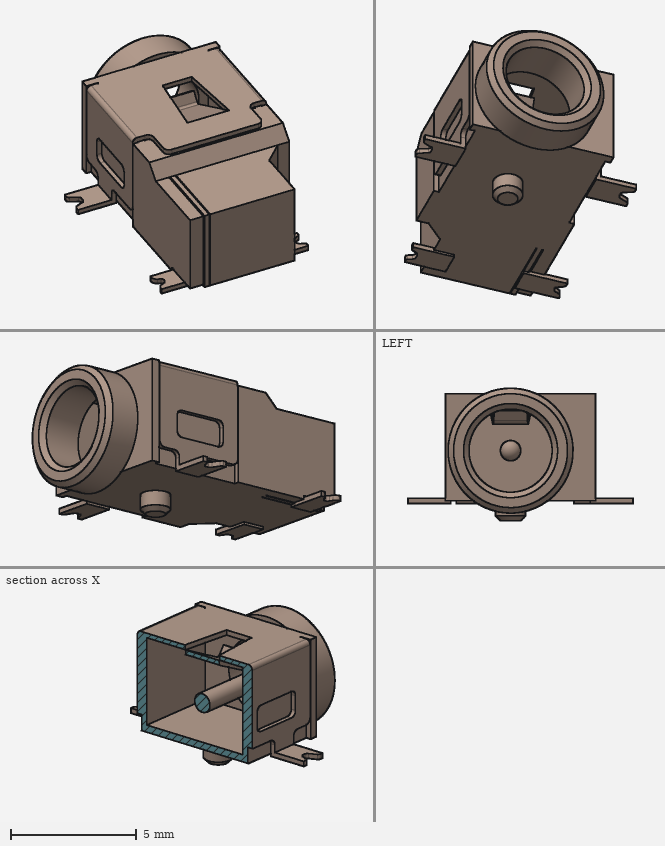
import cadquery as cq
import math

OVERLAP = 0.05
FAR = 11.0
PICK_MARGIN = 0.03

axis_z = 2.0
sleeve_radius = 2.5
sleeve_length = 1.51
sleeve_chamfer = 0.22
bore_radius = 1.66
pin_radius = 0.41
pin_tip_x = 2.2

length = 11.0
body_width = 6.0
body_center_y = -0.4
body_height = 4.28
flange_end_x = 1.87
bevel_start_x = 7.41
bevel_end_x = 7.99
rear_height = 3.5
rear_side_y = 1.3
corner_cut = 0.78
front_y = body_center_y - body_width / 2
back_y = body_center_y + body_width / 2

cavity_width = 4.95
cavity_floor_z = 0.33

sheet = 0.22
shell_gap = 0.03
bend_radius = 0.2
shell_end_x = 5.95
shell_round = 0.25
skirt_bottom_z = 0.69
flap_end_x = 7.3
flap_width = 4.38
window_size = (2.39, 1.13)
window_center = (4.0, 1.85)
roof_z = body_height - sheet
slot_end_x = shell_end_x + shell_gap

arm_tip_x = 3.21
arm_tip_width = 1.3
arm_root_width = 1.87
arm_bend_x = 3.59
arm_bend_z = 2.97
arm_sheet = 0.2
arm_slope = math.radians(24.7)
arm_tip_slope = math.radians(121)
arm_tip_length = 0.73
arm_bend_radius = 0.12

foot_bottom_z = -0.11
front_foot_x = 3.51
front_foot_width = 1.18
front_foot_reach = 9.0 / 2
rear_foot_x = 9.98
rear_foot_width = 1.0
rear_foot_embed = 0.87
rear_foot_back_y = 2.18
rear_foot_front_y = -4.4

front_notch = (0.48, 0.73, 0.3, 0.12, 0.12)
rear_back_notch = (0.33, 0.64, 0.33, 0.05, 0.18)
rear_front_notch = (0.37, 0.53, 0.22, 0.24, 0.13)

terminal_y = front_y + rear_foot_embed
terminal_inner_gap = 0.03
terminal_outer_gap = 0.05
relief_start_x = 9.4
relief_height = 0.14

peg_x = 4.51
peg_radius = 0.6
peg_length = 0.8
peg_chamfer = 0.2


def block(x_range, y_range, z_range):
    """Box given by its lower and upper limit along each axis."""
    limits = (x_range, y_range, z_range)
    sizes = [high - low for low, high in limits]
    corner = tuple(low for low, high in limits)
    return cq.Workplane("XY").box(*sizes, centered=False).translate(corner)


def around_body(width):
    """Y limits of a strip centred on the housing."""
    return (body_center_y - width / 2, body_center_y + width / 2)


def rod_x(radius, start_x, end_x):
    """Round bar on the sleeve axis."""
    return cq.Workplane("YZ", origin=(start_x, 0, axis_z)).circle(radius).extrude(end_x - start_x)


def round_upright(solid, x_limits, y_limits, radius):
    """Round the upright edges that lie inside the given plan limits."""
    low = (x_limits[0], y_limits[0], -FAR)
    high = (x_limits[1], y_limits[1], FAR)
    return solid.edges("|Z").edges(cq.selectors.BoxSelector(low, high)).fillet(radius)


def housing():
    side = [
        (sleeve_length, 0),
        (sleeve_length, body_height),
        (flange_end_x, body_height),
        (flange_end_x, roof_z),
        (bevel_start_x, roof_z),
        (bevel_end_x, rear_height),
        (length, rear_height),
        (length, 0),
    ]
    body = cq.Workplane("XZ", origin=(0, back_y, 0)).polyline(side).close().extrude(body_width)
    corner = [
        (bevel_end_x, back_y),
        (bevel_end_x, rear_side_y + corner_cut),
        (bevel_end_x + corner_cut, rear_side_y),
        (length, rear_side_y),
        (length, back_y),
    ]
    body = body.cut(cq.Workplane("XY").polyline(corner).close().extrude(FAR))
    for wall in ((front_y, front_y + sheet), (back_y - sheet, back_y)):
        body = body.cut(block((flange_end_x, slot_end_x), wall, (0, roof_z)))
    cavity = block((flange_end_x, slot_end_x), around_body(cavity_width), (cavity_floor_z, roof_z))
    return body.cut(cavity)


def sleeve():
    tube = rod_x(sleeve_radius, 0, sleeve_length)
    return tube.faces("<X").chamfer(sleeve_chamfer)


def bore():
    hole = rod_x(bore_radius, 0, flange_end_x)
    mouth = cq.Solid.makeCone(
        bore_radius + sleeve_chamfer,
        bore_radius,
        sleeve_chamfer,
        pnt=cq.Vector(0, 0, axis_z),
        dir=cq.Vector(1, 0, 0),
    )
    return hole.union(cq.Workplane(mouth))


def pin():
    center_x = pin_tip_x + pin_radius
    dome = cq.Workplane("XY").sphere(pin_radius).translate((center_x, 0, axis_z))
    return rod_x(pin_radius, center_x, slot_end_x + OVERLAP).union(dome)


def shell_side_plate():
    """Side outline of the shell, a skirt with a tab running down to the foot, across the full width."""
    start_x = flange_end_x + shell_gap
    skirt = block((start_x, shell_end_x), around_body(body_width), (skirt_bottom_z, body_height))
    skirt = skirt.edges("|Y and <Z").fillet(shell_round)
    tab_x = (front_foot_x - front_foot_width / 2, front_foot_x + front_foot_width / 2)
    tab = block(tab_x, around_body(body_width), (foot_bottom_z, roof_z))
    low = (tab_x[0] - PICK_MARGIN, -FAR, skirt_bottom_z - PICK_MARGIN)
    high = (tab_x[1] + PICK_MARGIN, FAR, skirt_bottom_z + PICK_MARGIN)
    inner_corners = cq.selectors.BoxSelector(low, high)
    return skirt.union(tab).edges("|Y").edges(inner_corners).fillet(shell_round)


def shell():
    x_range = (flange_end_x + shell_gap, shell_end_x)
    arch = block(x_range, around_body(body_width), (foot_bottom_z, body_height))
    arch = arch.edges("|X and >Z").fillet(bend_radius)
    arch = arch.cut(block(x_range, around_body(body_width - 2 * sheet), (foot_bottom_z, roof_z)))
    arch = arch.intersect(shell_side_plate())
    window = cq.Workplane("XZ", origin=(window_center[0], back_y, window_center[1]))
    window = window.rect(*window_size).extrude(body_width).edges("|Y").fillet(shell_round)
    arch = arch.cut(window)

    roof = (roof_z, body_height)
    flap_y = around_body(flap_width)
    arch = arch.union(block((shell_end_x - OVERLAP, flap_end_x), flap_y, roof))
    arch = arch.union(block((flange_end_x, x_range[0] + OVERLAP), around_body(cavity_width), roof))
    for y in flap_y:
        near_y = (y - PICK_MARGIN, y + PICK_MARGIN)
        for x in (shell_end_x, flap_end_x):
            arch = round_upright(arch, (x - PICK_MARGIN, x + PICK_MARGIN), near_y, shell_round)
    return arch.cut(arm_plan()).union(spring_arm())


def arm_plan():
    """Tapered opening of the spring arm."""
    outline = [
        (arm_tip_x, -arm_tip_width / 2),
        (shell_end_x, -arm_root_width / 2),
        (shell_end_x, arm_root_width / 2),
        (arm_tip_x, arm_tip_width / 2),
    ]
    return cq.Workplane("XY").polyline(outline).close().extrude(body_height)


def spring_arm():
    half_angle = (arm_tip_slope - arm_slope) / 2
    middle = (arm_tip_slope + arm_slope) / 2
    inset = arm_sheet / math.sin(half_angle)
    inner_x = arm_bend_x + inset * math.cos(middle)
    inner_z = arm_bend_z + inset * math.sin(middle)
    tip_x = arm_bend_x + arm_tip_length * math.cos(arm_tip_slope)
    tip_z = arm_bend_z + arm_tip_length * math.sin(arm_tip_slope)
    profile = [
        (arm_bend_x, arm_bend_z),
        (shell_end_x, arm_bend_z + (shell_end_x - arm_bend_x) * math.tan(arm_slope)),
        (shell_end_x, inner_z + (shell_end_x - inner_x) * math.tan(arm_slope)),
        (inner_x, inner_z),
        (tip_x + arm_sheet * math.sin(arm_tip_slope), tip_z - arm_sheet * math.cos(arm_tip_slope)),
        (tip_x, tip_z),
    ]
    arm = cq.Workplane("XZ").polyline(profile).close().extrude(arm_root_width / 2, both=True)
    bends = (
        (arm_bend_x, arm_bend_z, arm_bend_radius + arm_sheet),
        (inner_x, inner_z, arm_bend_radius),
    )
    for x, z, radius in bends:
        arm = arm.edges(cq.selectors.NearestToPointSelector((x, 0, z))).fillet(radius)
    return arm.intersect(arm_plan())


def foot(center_x, width, root_y, end_y, notch):
    """Flat foot with a rounded V notch in its end."""
    depth, mouth, root, mouth_round, root_round = notch
    outward = math.copysign(1, end_y - root_y)
    notch_y = end_y - outward * depth
    outline = [
        (center_x - width / 2, root_y),
        (center_x - width / 2, end_y),
        (center_x - mouth / 2, end_y),
        (center_x - root / 2, notch_y),
        (center_x + root / 2, notch_y),
        (center_x + mouth / 2, end_y),
        (center_x + width / 2, end_y),
        (center_x + width / 2, root_y),
    ]
    plate = cq.Workplane("XY", origin=(0, 0, foot_bottom_z)).polyline(outline).close().extrude(sheet)
    roundings = ((root, notch_y, root_round), (mouth, end_y, mouth_round))
    for notch_width, y, radius in roundings:
        half = notch_width / 2 + PICK_MARGIN
        plate = round_upright(
            plate,
            (center_x - half, center_x + half),
            (y - PICK_MARGIN, y + PICK_MARGIN),
            radius,
        )
    return plate


def front_feet():
    feet = cq.Workplane("XY")
    for side in (-1, 1):
        root_y = body_center_y + side * (body_width / 2 - sheet)
        end_y = body_center_y + side * front_foot_reach
        feet = feet.union(foot(front_foot_x, front_foot_width, root_y, end_y, front_notch))
    return feet


def rear_feet():
    back_root_y = rear_side_y - rear_foot_embed
    back = foot(rear_foot_x, rear_foot_width, back_root_y, rear_foot_back_y, rear_back_notch)
    front = foot(rear_foot_x, rear_foot_width, terminal_y, rear_foot_front_y, rear_front_notch)
    return back.union(front)


def terminal_slot():
    slot_y = (terminal_y - sheet - terminal_outer_gap, terminal_y + terminal_inner_gap)
    slot = block((bevel_end_x, length), slot_y, (0, rear_height))
    relief = block((relief_start_x, length), (front_y, slot_y[1]), (0, relief_height))
    return slot.union(relief)


def terminal():
    return block(
        (bevel_end_x - OVERLAP, length),
        (terminal_y - sheet, terminal_y),
        (0, rear_height),
    )


def peg():
    stem = cq.Workplane("XY", origin=(peg_x, 0, OVERLAP)).circle(peg_radius)
    return stem.extrude(-peg_length - OVERLAP).faces("<Z").chamfer(peg_chamfer)


result = housing().cut(terminal_slot()).union(sleeve()).cut(bore())
for piece in (pin(), peg(), shell(), front_feet(), terminal(), rear_feet()):
    result = result.union(piece)